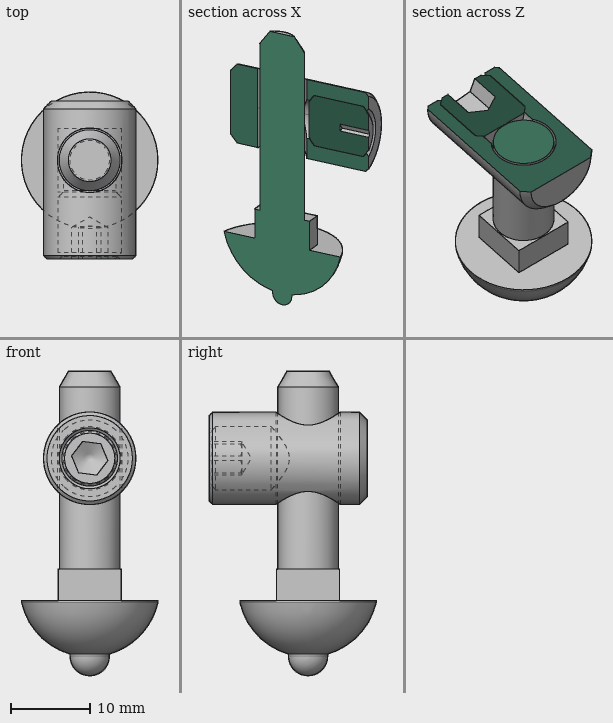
import cadquery as cq
import math


shank_top = 11.0
neck_top = -14.0
head_top = -18.0
ball_centre = -25.0

shank_diameter = 7.7
tip_taper_length = 2.0
tip_taper_angle = 30.0
neck_width = 8.0
head_diameter = 17.27
head_rim_height = 0.25
dome_depth = 6.5
ball_diameter = 5.0

sleeve_diameter = 11.7
sleeve_front = -12.5
sleeve_length = 20.0
front_chamfer = 0.45
rear_chamfer = 1.0
cross_bore_diameter = 8.15
tap_drill_diameter = 6.65
countersink_diameter = 7.7

screw_diameter = 8.0
screw_end_diameter = 6.35
screw_length = -shank_diameter / 2 - sleeve_front
socket_across_flats = 4.0
socket_depth = 4.0
socket_turn = -7.5
socket_cone_angle = 120.0


def make_bolt():
    """Tapered shank, square neck and domed head ending in a small ball."""
    shank_radius = shank_diameter / 2
    tip_radius = shank_radius - tip_taper_length * math.tan(math.radians(tip_taper_angle))
    shank = (
        cq.Workplane("XZ")
        .moveTo(0, neck_top)
        .lineTo(shank_radius, neck_top)
        .lineTo(shank_radius, shank_top - tip_taper_length)
        .lineTo(tip_radius, shank_top)
        .lineTo(0, shank_top)
        .close()
        .revolve(360, (0, 0, 0), (0, 1, 0))
    )
    neck = (
        cq.Workplane("XY", origin=(0, 0, head_top))
        .rect(neck_width, neck_width)
        .extrude(neck_top - head_top)
    )

    head_radius = head_diameter / 2
    ball_radius = ball_diameter / 2
    rim_bottom = head_top - head_rim_height
    dome_bottom = rim_bottom - dome_depth
    centre_above_rim = (head_radius**2 - ball_radius**2 - dome_depth**2) / (2 * dome_depth)
    dome_centre = rim_bottom + centre_above_rim
    dome_radius = math.hypot(head_radius, centre_above_rim)
    arc_mid_radius = (head_radius + ball_radius) / 2
    arc_mid_height = dome_centre - math.sqrt(dome_radius**2 - arc_mid_radius**2)
    ball_mid = ball_radius * math.sqrt(0.5)
    head = (
        cq.Workplane("XZ")
        .moveTo(0, head_top)
        .lineTo(head_radius, head_top)
        .lineTo(head_radius, rim_bottom)
        .threePointArc((arc_mid_radius, arc_mid_height), (ball_radius, dome_bottom))
        .lineTo(ball_radius, ball_centre)
        .threePointArc((ball_mid, ball_centre - ball_mid), (0, ball_centre - ball_radius))
        .close()
        .revolve(360, (0, 0, 0), (0, 1, 0))
    )
    return shank.union(neck).union(head)


def make_screw_blank():
    """Set screw without its socket; both ends have a 45 degree chamfer."""
    chamfer = (screw_diameter - screw_end_diameter) / 2
    return (
        cq.Workplane("XZ", origin=(0, sleeve_front, 0))
        .circle(screw_diameter / 2)
        .extrude(-screw_length)
        .edges()
        .chamfer(chamfer)
    )


def make_socket():
    """Hexagonal socket whose floor is a drill cone reaching out to the hexagon corners."""
    corner_radius = socket_across_flats / math.sqrt(3)
    cone_depth = corner_radius / math.tan(math.radians(socket_cone_angle / 2))
    full_depth = socket_depth + cone_depth
    hexagon = (
        cq.Workplane("XZ", origin=(0, sleeve_front, 0))
        .transformed(rotate=(0, 0, socket_turn))
        .polygon(6, 2 * corner_radius)
        .extrude(-full_depth)
    )
    drill = (
        cq.Workplane("XY")
        .moveTo(0, sleeve_front)
        .lineTo(corner_radius, sleeve_front)
        .lineTo(corner_radius, sleeve_front + socket_depth)
        .lineTo(0, sleeve_front + full_depth)
        .close()
        .revolve(360, (0, 0, 0), (0, 1, 0))
    )
    return hexagon.intersect(drill)


def make_sleeve():
    """Round sleeve with a cross bore for the bolt and a countersunk threaded bore for the screw."""
    body = (
        cq.Workplane("XZ", origin=(0, sleeve_front, 0))
        .circle(sleeve_diameter / 2)
        .extrude(-sleeve_length)
        .faces("<Y")
        .chamfer(front_chamfer)
        .faces(">Y")
        .chamfer(rear_chamfer)
    )
    cross_bore = (
        cq.Workplane("XY")
        .circle(cross_bore_diameter / 2)
        .extrude(sleeve_diameter / 2, both=True)
    )

    drill_radius = tap_drill_diameter / 2
    countersink_radius = countersink_diameter / 2
    tap_drill = (
        cq.Workplane("XY")
        .moveTo(0, sleeve_front)
        .lineTo(countersink_radius, sleeve_front)
        .lineTo(drill_radius, sleeve_front + countersink_radius - drill_radius)
        .lineTo(drill_radius, 0)
        .lineTo(0, 0)
        .close()
        .revolve(360, (0, 0, 0), (0, 1, 0))
    )

    return body.cut(cross_bore).cut(tap_drill).cut(make_screw_blank())


bolt = make_bolt()
sleeve = make_sleeve()
set_screw = make_screw_blank().cut(make_socket())

bodies = [bolt, sleeve, set_screw]
result = cq.Compound.makeCompound([body.solids().val() for body in bodies])